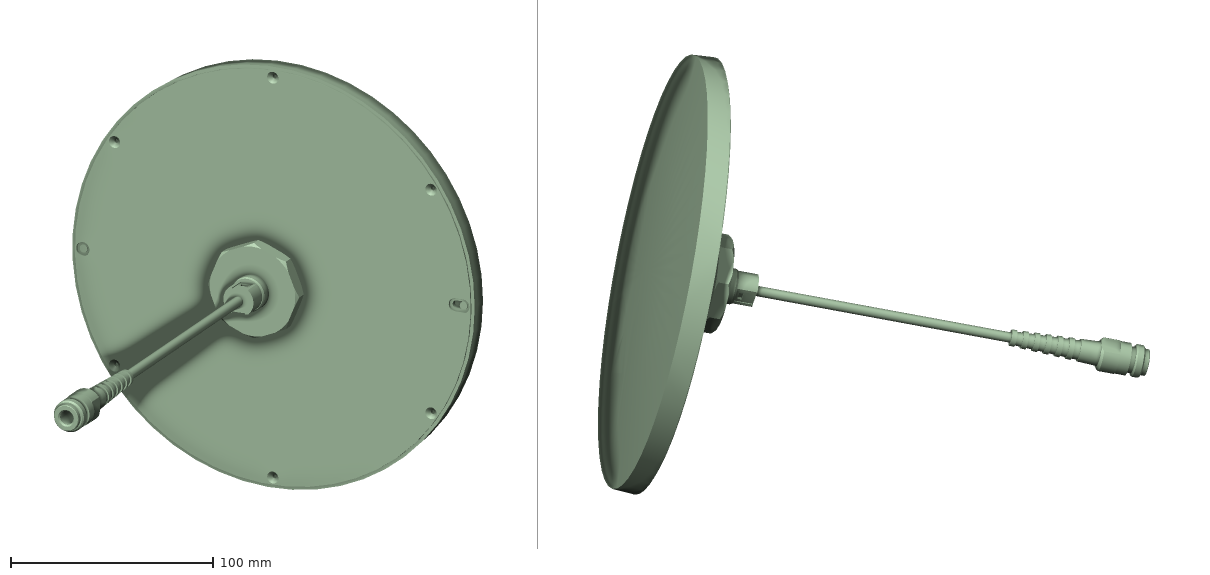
import cadquery as cq
import math


cover_edge_radius = 110.0
cover_shoulder_radius = 109.2
cover_edge_y = 0.8
cover_shoulder_y = 12.0
cover_top_y = 16.2
overall_length = 256.5

plate_radius = 108.2
plate_thickness = 3.8
screw_circle_radius = 104.4
screw_angles = (34, 90, 146, 214, 270, 326)
screw_head_radius = 3.0
screw_hole_radius = 1.0
locator_circle_radius = 103.8
locator_radius = 3.5
locator_step_radius = 2.0
locator_step_depth = 1.3
locator_pin_end_y = 0.8
slot_travel = 4.0

stem_radius = 9.0
stem_end_y = -29.7
stem_foot_radius = 10.3
stem_foot_step = 0.5
stem_foot_height = 2.0
stem_chamfer_length = 1.0
stem_chamfer_depth = 0.5

collar_radius = 8.2
collar_end_y = -40.0
collar_flat_height = 6.5
latch_width = 7.2
latch_depth = 0.5
window_width = 4.0
window_length = 2.3
window_depth = 2.0
window_offset = 1.8

nut_sides = 8
nut_corner_radius = 24.9
nut_back_y = -16.0
nut_thickness = 7.7
nut_chamfer_depth = 1.5
nut_front_chamfer_height = 1.5
nut_back_chamfer_height = 1.0

cable_radius = 2.5

boot_start_y = -170.5
ribs_end_y = -205.5
boot_end_y = -215.5
boot_start_radius = 4.0
boot_end_radius = 6.2
rib_count = 6
rib_length = 2.5
rib_height = 0.8
body_radius = 8.2
wrench_radius = 8.5
body_neck_radius = 6.7
body_back_chamfer = 1.3
flats_end_y = -224.9
flat_distance = 7.0
groove_start_y = -230.5
groove_end_y = -233.0
lip_end_y = -237.7
lip_chamfer = 0.8
tip_y = cover_top_y - overall_length
tip_chamfer = 0.3
bore_mouth_radius = 4.4
bore_chamfer_depth = 0.8
bore_radius = 3.5
bore_depth = 12.8
contact_radius = 1.3
contact_depth = 2.5


def cylinder(radius, start_y, end_y, x=0.0, z=0.0):
    """A cylinder along Y between two Y positions."""
    direction = cq.Vector(0, math.copysign(1, end_y - start_y), 0)
    solid = cq.Solid.makeCylinder(radius, abs(end_y - start_y), cq.Vector(x, start_y, z), direction)
    return cq.Workplane(obj=solid)


def cone(start_radius, end_radius, start_y, end_y, x=0.0, z=0.0):
    """A cone along Y that changes from one radius to another."""
    direction = cq.Vector(0, math.copysign(1, end_y - start_y), 0)
    start = cq.Vector(x, start_y, z)
    solid = cq.Solid.makeCone(start_radius, end_radius, abs(end_y - start_y), start, direction)
    return cq.Workplane(obj=solid)


def revolve_about_y(profile):
    """Turn a closed XY outline around the Y axis."""
    return profile.close().revolve(360, (0, 0, 0), (0, 1, 0))


def make_cover():
    """Shallow domed cover with a drafted wall, a recess for the base plate and two locating pins."""
    rise = cover_top_y - cover_shoulder_y
    dome_radius = (cover_shoulder_radius**2 + rise**2) / (2 * rise)
    half_angle = math.asin(cover_shoulder_radius / dome_radius) / 2
    arc_middle = (
        dome_radius * math.sin(half_angle),
        cover_top_y - dome_radius * (1 - math.cos(half_angle)),
    )
    profile = (
        cq.Workplane("XY")
        .moveTo(0, plate_thickness)
        .lineTo(plate_radius, plate_thickness)
        .lineTo(plate_radius, cover_edge_y)
        .lineTo(cover_edge_radius, cover_edge_y)
        .lineTo(cover_shoulder_radius, cover_shoulder_y)
        .threePointArc(arc_middle, (0, cover_top_y))
    )
    cover = revolve_about_y(profile)
    for side in (1, -1):
        pin_x = side * locator_circle_radius
        cover = cover.union(cylinder(locator_step_radius, plate_thickness, locator_pin_end_y, pin_x))
    return cover


def screw_hole(angle):
    """Countersunk hole through the plate on the screw circle."""
    x = screw_circle_radius * math.cos(math.radians(angle))
    z = screw_circle_radius * math.sin(math.radians(angle))
    sink_depth = screw_head_radius - screw_hole_radius
    countersink = cone(screw_head_radius, screw_hole_radius, 0, sink_depth, x, z)
    return countersink.union(cylinder(screw_hole_radius, 0, plate_thickness, x, z))


def locating_hole():
    """Stepped round hole on the -X side, around a locating pin."""
    x = -locator_circle_radius
    hole = cylinder(locator_radius, 0, locator_step_depth, x)
    return hole.union(cylinder(locator_step_radius, 0, plate_thickness, x))


def slot_cutter(radius, depth):
    """Round-ended slot along X, cut into the plate from its open face."""
    centre_x = locator_circle_radius - slot_travel / 2
    return (
        cq.Workplane("XZ")
        .center(centre_x, 0)
        .slot2D(slot_travel + 2 * radius, 2 * radius)
        .extrude(-depth)
    )


def locating_slot():
    """Stepped slot on the +X side, with a locating pin at its outer end."""
    return slot_cutter(locator_radius, locator_step_depth).union(
        slot_cutter(locator_step_radius, plate_thickness)
    )


def make_stem():
    """Round stem with a short stepped and tapered foot at the plate and a chamfered end."""
    profile = (
        cq.Workplane("XY")
        .moveTo(0, 0)
        .lineTo(stem_foot_radius, 0)
        .lineTo(stem_foot_radius, -stem_foot_step)
        .lineTo(stem_radius, -stem_foot_height)
        .lineTo(stem_radius, stem_end_y + stem_chamfer_length)
        .lineTo(stem_radius - stem_chamfer_depth, stem_end_y)
        .lineTo(0, stem_end_y)
    )
    return revolve_about_y(profile)


def make_collar():
    """Collar with two opposite flats, each with a shallow latch channel and a window."""
    collar = cylinder(collar_radius, stem_end_y, collar_end_y)
    length = stem_end_y - collar_end_y
    middle_y = stem_end_y - length / 2
    for side in (1, -1):
        flat_centre = (0, middle_y, side * (collar_flat_height + collar_radius))
        collar = collar.cut(
            cq.Workplane("XY").box(2 * collar_radius, length, 2 * collar_radius).translate(flat_centre)
        )
        latch_centre = (0, middle_y, side * collar_flat_height)
        collar = collar.cut(
            cq.Workplane("XY").box(latch_width, length, 2 * latch_depth).translate(latch_centre)
        )
        window_y = stem_end_y - window_offset - window_length / 2
        collar = collar.cut(
            cq.Workplane("XY")
            .box(window_width, window_length, 2 * window_depth)
            .translate((0, window_y, side * collar_flat_height))
        )
    return collar


def make_base():
    """Base plate, stem and collar in one piece."""
    base = cylinder(plate_radius, 0, plate_thickness)
    for angle in screw_angles:
        base = base.cut(screw_hole(angle))
    base = base.cut(locating_hole()).cut(locating_slot())
    return base.union(make_stem()).union(make_collar())


def make_nut():
    """Octagonal nut with turned chamfers, corners on the X and Z axes."""
    front_y = nut_back_y - nut_thickness
    face_radius = nut_corner_radius - nut_chamfer_depth
    prism = (
        cq.Workplane("XZ", origin=(0, nut_back_y, 0))
        .polygon(nut_sides, 2 * nut_corner_radius)
        .extrude(nut_thickness)
    )
    turned_profile = (
        cq.Workplane("XY")
        .moveTo(stem_radius, nut_back_y)
        .lineTo(face_radius, nut_back_y)
        .lineTo(nut_corner_radius, nut_back_y - nut_back_chamfer_height)
        .lineTo(nut_corner_radius, front_y + nut_front_chamfer_height)
        .lineTo(face_radius, front_y)
        .lineTo(stem_radius, front_y)
    )
    return prism.intersect(revolve_about_y(turned_profile))


def make_cable():
    """Straight round cable between the collar and the boot."""
    return cylinder(cable_radius, collar_end_y, boot_start_y)


def boot_radius(y):
    """Outer radius of the tapered boot at a Y position."""
    share = (boot_start_y - y) / (boot_start_y - boot_end_y)
    return boot_start_radius + share * (boot_end_radius - boot_start_radius)


def make_boot():
    """Tapered boot with a groove after each rib."""
    boot = cone(boot_start_radius, boot_end_radius, boot_start_y, boot_end_y)
    pitch = (boot_start_y - ribs_end_y) / rib_count
    for index in range(rib_count):
        groove_start = boot_start_y - index * pitch - rib_length
        groove_end = boot_start_y - (index + 1) * pitch
        core = cone(
            boot_radius(groove_start) - rib_height,
            boot_radius(groove_end) - rib_height,
            groove_start,
            groove_end,
        )
        boot = boot.cut(cylinder(body_radius, groove_start, groove_end).cut(core))
    return boot


def make_plug_body():
    """Turned plug body with two wrench flats and a socket bored into its tip."""
    profile = (
        cq.Workplane("XY")
        .moveTo(0, boot_end_y)
        .lineTo(wrench_radius - body_back_chamfer, boot_end_y)
        .lineTo(wrench_radius, boot_end_y - body_back_chamfer)
        .lineTo(wrench_radius, flats_end_y)
        .lineTo(body_radius, flats_end_y)
        .lineTo(body_radius, groove_start_y)
        .lineTo(body_neck_radius, groove_start_y)
        .lineTo(body_neck_radius, groove_end_y)
        .lineTo(body_radius - lip_chamfer, groove_end_y)
        .lineTo(body_radius, groove_end_y - lip_chamfer)
        .lineTo(body_radius, lip_end_y + lip_chamfer)
        .lineTo(body_radius - lip_chamfer, lip_end_y)
        .lineTo(body_neck_radius, lip_end_y)
        .lineTo(body_neck_radius, tip_y + tip_chamfer)
        .lineTo(body_neck_radius - tip_chamfer, tip_y)
        .lineTo(0, tip_y)
    )
    body = revolve_about_y(profile)

    flats_length = boot_end_y - flats_end_y
    for side in (1, -1):
        centre = (side * (flat_distance + wrench_radius), boot_end_y - flats_length / 2, 0)
        body = body.cut(
            cq.Workplane("XY").box(2 * wrench_radius, flats_length, 2 * wrench_radius).translate(centre)
        )

    bore_end_y = tip_y + bore_depth
    body = body.cut(cone(bore_mouth_radius, bore_radius, tip_y, tip_y + bore_chamfer_depth))
    body = body.cut(cylinder(bore_radius, tip_y, bore_end_y))
    return body.cut(cylinder(contact_radius, bore_end_y, bore_end_y + contact_depth))


def make_plug():
    """Boot and plug body in one piece."""
    return make_boot().union(make_plug_body())


cover = make_cover()
base = make_base()
nut = make_nut()
cable = make_cable()
plug = make_plug()

result = cq.Compound.makeCompound([cover.val(), base.val(), nut.val(), cable.val(), plug.val()])